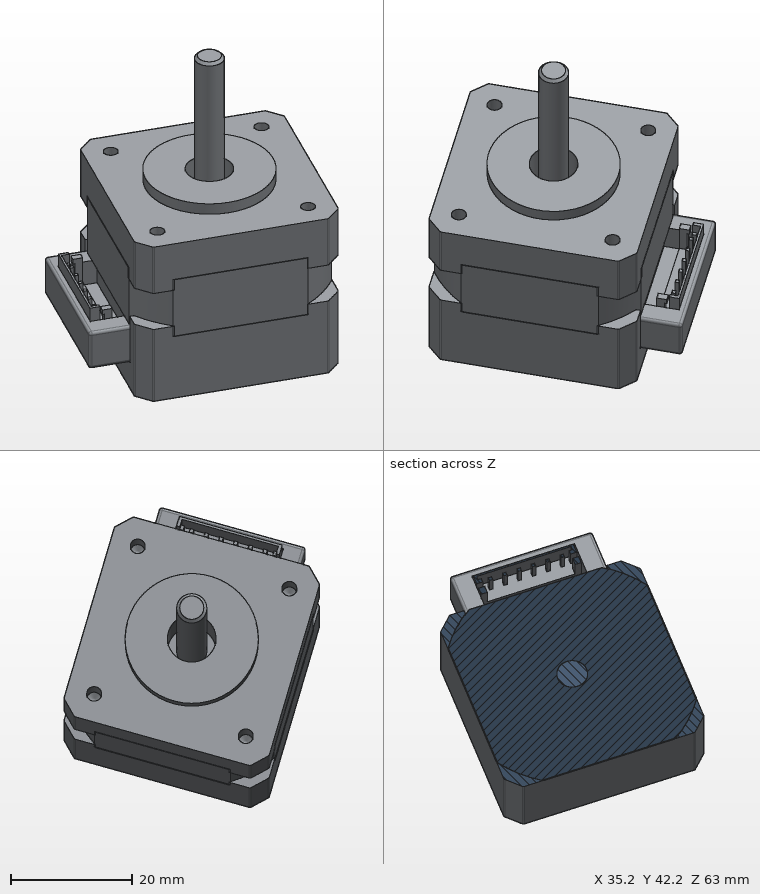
import cadquery as cq


cap_width = 35.2
corner_bevel = 2.5
bevel_edge_radius = 0.45
rear_cap_height = 14.0
front_cap_height = 9.0
cap_gap = 7.0
bore_depth = 2.0
boss_diameter = 22.0
boss_height = 2.0
boss_hole_diameter = 8.0
mount_hole_diameter = 2.45
mount_hole_depth = 4.0
mount_hole_tip_depth = 0.75
mount_hole_spacing = 26.0

stator_diameter = 42.0
stator_width = 34.95

shaft_diameter = 5.0
shaft_length = 63.0
shaft_rear_length = 9.0
shaft_chamfer = 0.5

cover_width = 25.0
cover_height = 7.0
cover_reach = 7.0
cover_edge_radius = 0.5
slot_depth = 1.0
cover_pocket_width = 18.0
cover_pocket_front_wall = 1.25

connector_width = 17.65
connector_height = 6.9
connector_length = 3.85
connector_rise = 2.45
base_thickness = 1.5
front_wall_thickness = 0.4
front_return_thickness = 0.55
front_return_length = 1.7
tab_length = 0.75
tab_rise = 0.75
side_wall_thickness = 1.15
side_wall_length = 1.3
side_wall_rise = 1.7
side_lip_length = 0.4
side_lip_height = 0.95
pin_count = 6
pin_pitch = 2.5
pin_width = 0.6
pin_rise = 1.2
pin_front_distance = 1.5

front_cap_bottom = rear_cap_height + cap_gap
front_cap_top = front_cap_bottom + front_cap_height
stator_bottom = rear_cap_height - bore_depth
stator_top = front_cap_bottom + bore_depth
cap_face_y = -cap_width / 2
cover_top = stator_bottom
cover_bottom = cover_top - cover_height
cover_front_y = cap_face_y - cover_reach
slot_back_y = cap_face_y + slot_depth
connector_front_y = cover_front_y + cover_pocket_front_wall
connector_back_y = connector_front_y + connector_length
connector_top = cover_top + connector_rise
connector_bottom = connector_top - connector_height
connector_base_top = connector_bottom + base_thickness


def box_between(x_range, y_range, z_range):
    """Box spanning the given (low, high) range along each axis."""
    sizes = [high - low for low, high in (x_range, y_range, z_range)]
    corner = (x_range[0], y_range[0], z_range[0])
    return cq.Workplane("XY").box(*sizes, centered=False).translate(corner)


def centered_box(width, y_range, z_range):
    """Box of the given width, centred on X = 0."""
    return box_between((-width / 2, width / 2), y_range, z_range)


def cylinder(diameter, bottom, top):
    """Cylinder on the shaft axis."""
    return cq.Workplane("XY").workplane(offset=bottom).circle(diameter / 2).extrude(top - bottom)


def cap_block(bottom, height):
    """Square block with bevelled corners and softened bevel edges."""
    block = cq.Workplane("XY").workplane(offset=bottom).rect(cap_width, cap_width).extrude(height)
    return block.edges("|Z").chamfer(corner_bevel).edges("|Z").fillet(bevel_edge_radius)


def mount_holes():
    """Four blind drilled holes with conical tips, entering from the top of the front cap."""
    radius = mount_hole_diameter / 2
    drill_profile = [
        (0, 0),
        (radius, 0),
        (radius, -mount_hole_depth),
        (0, -mount_hole_depth - mount_hole_tip_depth),
    ]
    drill = cq.Workplane("XZ").polyline(drill_profile).close().revolve(360, (0, 0), (0, 1)).val()
    return (
        cq.Workplane("XY")
        .workplane(offset=front_cap_top)
        .rect(mount_hole_spacing, mount_hole_spacing, forConstruction=True)
        .vertices()
        .eachpoint(lambda location: drill.moved(location), combine=False)
    )


def make_front_cap():
    boss_top = front_cap_top + boss_height
    cap = cap_block(front_cap_bottom, front_cap_height)
    cap = cap.union(cylinder(boss_diameter, front_cap_top, boss_top))
    cap = cap.cut(cylinder(stator_diameter, front_cap_bottom, stator_top))
    cap = cap.cut(cylinder(boss_hole_diameter, stator_top, boss_top))
    return cap.cut(mount_holes())


def make_rear_cap():
    cap = cap_block(0, rear_cap_height)
    cap = cap.cut(cylinder(stator_diameter, stator_bottom, rear_cap_height))
    cap = cap.cut(cylinder(shaft_diameter, 0, stator_bottom))
    cover_slot = centered_box(cover_width, (cap_face_y, slot_back_y), (cover_bottom, rear_cap_height))
    return cap.cut(cover_slot)


def make_stator():
    flats = (
        cq.Workplane("XY")
        .workplane(offset=stator_bottom)
        .rect(stator_width, stator_width)
        .extrude(stator_top - stator_bottom)
    )
    stator = cylinder(stator_diameter, stator_bottom, stator_top).intersect(flats)
    return stator.cut(cylinder(shaft_diameter, stator_bottom, stator_top))


def make_shaft():
    shaft = cylinder(shaft_diameter, -shaft_rear_length, shaft_length - shaft_rear_length)
    return shaft.faces(">Z").chamfer(shaft_chamfer)


def make_cover():
    cover = centered_box(cover_width, (cover_front_y, slot_back_y), (cover_bottom, cover_top))
    cover = cover.edges("(not >Y)").fillet(cover_edge_radius)
    pocket = centered_box(
        cover_pocket_width, (connector_front_y, slot_back_y), (connector_bottom, cover_top)
    )
    return cover.cut(pocket)


def connector_side():
    """Side walls of the connector at its +X end."""
    outer_x = connector_width / 2
    inner_x = outer_x - side_wall_thickness
    return_inner_x = outer_x - front_return_thickness
    return_back_y = connector_front_y + front_return_length
    wall_front_y = connector_back_y - side_wall_length
    wall_top = cover_top + side_wall_rise

    front_return = box_between(
        (return_inner_x, outer_x),
        (connector_front_y, return_back_y),
        (connector_bottom, connector_top),
    )
    tab = box_between(
        (inner_x, return_inner_x),
        (return_back_y - tab_length, return_back_y),
        (connector_bottom, cover_top + tab_rise),
    )
    wall = box_between(
        (inner_x, outer_x), (wall_front_y, connector_back_y), (connector_bottom, wall_top)
    )
    lip = box_between(
        (inner_x, outer_x),
        (wall_front_y - side_lip_length, wall_front_y),
        (wall_top - side_lip_height, wall_top),
    )
    return front_return.union(tab).union(wall).union(lip)


def make_connector():
    full_depth = (connector_front_y, connector_back_y)
    connector = centered_box(connector_width, full_depth, (connector_bottom, connector_base_top))
    front_wall_depth = (connector_front_y, connector_front_y + front_wall_thickness)
    front_wall = centered_box(connector_width, front_wall_depth, (connector_bottom, connector_top))
    side = connector_side()
    connector = connector.union(front_wall).union(side).union(side.mirror("YZ"))

    pin_y = connector_front_y + pin_front_distance
    pin = centered_box(
        pin_width,
        (pin_y - pin_width / 2, pin_y + pin_width / 2),
        (connector_bottom, cover_top + pin_rise),
    )
    for index in range(pin_count):
        pin_x = (index - (pin_count - 1) / 2) * pin_pitch
        connector = connector.union(pin.translate((pin_x, 0, 0)))
    return connector


front_cap = make_front_cap()
rear_cap = make_rear_cap()
stator = make_stator()
shaft = make_shaft()
cover = make_cover()
connector = make_connector()

result = cq.Compound.makeCompound(
    [
        front_cap.solids().val(),
        rear_cap.solids().val(),
        stator.solids().val(),
        shaft.solids().val(),
        cover.solids().val(),
        connector.solids().val(),
    ]
)